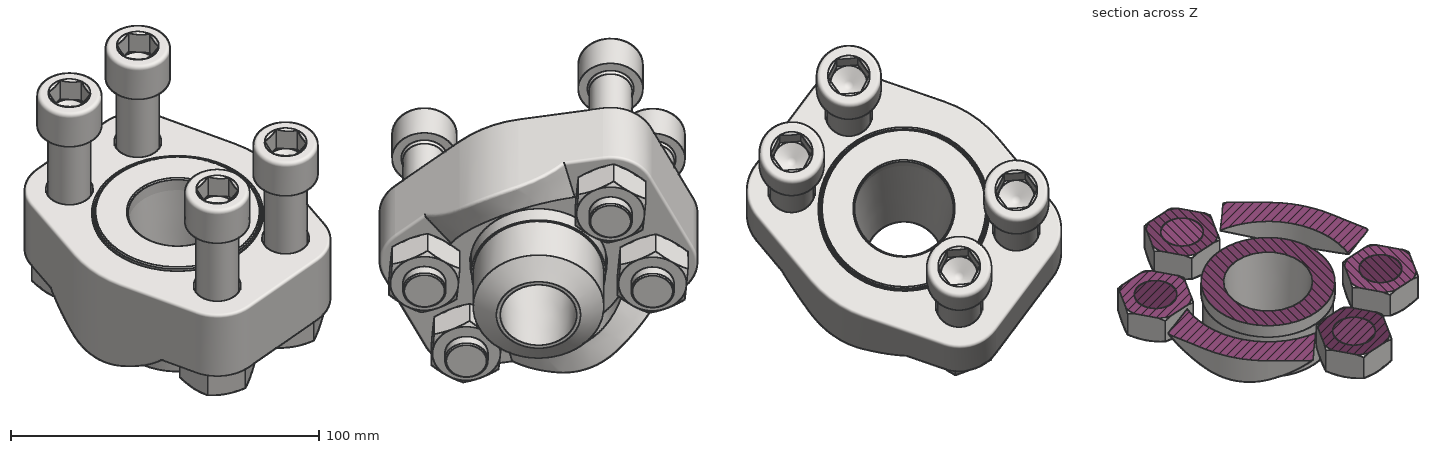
import cadquery as cq
import math


SCREW_X = 33.4
SCREW_Y = 15.9
SHANK_DIAMETER = 14.0
SHANK_LENGTH = 70.0
TIP_DIAMETER = 13.0
HEAD_DIAMETER = 21.0
HEAD_HEIGHT = 14.0
HEAD_ROUND = 1.35
HEAD_TOP_Z = 42.0
NECK_DIAMETER = 15.1
NECK_LENGTH = 1.2
SOCKET_RIM_DIAMETER = 13.7
SOCKET_FLATS = 11.8
SOCKET_DEPTH = 8.2
SOCKET_TURN = 40
SOCKET_CHAMFER_ANGLE = 30
SOCKET_TIP_ANGLE = 30

FLANGE_LENGTH = 96.0
FLANGE_WIDTH = 78.0
FLANGE_THICKNESS = 27
EDGE_ROUND = 1
SCREW_HOLE_DIAMETER = 15.3
COLLAR_RECESS_DIAMETER = 54.7
RECESS_CHAMFER = 0.5
PIPE_HOLE_DIAMETER = 44.5

LOBE_DROP = 11.0
LOBE_RADIUS = 36.7
LOBE_TAPER = 8
LOBE_INNER_RADIUS = 29.4
LOBE_WALL_DEPTH = 1.9

PIPE_DIAMETER = 42.4
PIPE_BOTTOM_Z = -54.5
PIPE_TIP_DIAMETER = 27.3
PIPE_TIP_HEIGHT = 4.4
SHOULDER_DIAMETER = 43.5
SHOULDER_BOTTOM_Z = -32.3
COLLAR_DIAMETER = 54
COLLAR_TOP_Z = 0.7
COLLAR_BOTTOM_Z = -9.65
COLLAR_CHAMFER = 0.5
BORE_TOP_DIAMETER = 32.0
BORE_TOP_DEPTH = 5.0
BORE_CHAMFER = 0.5
BORE_BOTTOM_DIAMETER = 24.8

NUT_FLATS = 22.0
NUT_HEIGHT = 11.0
NUT_CHAMFER_ANGLE = 30

HEX_CORNER_RATIO = 1 / math.cos(math.pi / 6)
SCREW_PLACES = [(x, y) for x in (-SCREW_X, SCREW_X) for y in (-SCREW_Y, SCREW_Y)]


def turned(profile):
    """Turn a closed (radius, z) profile about the Z axis."""
    return cq.Workplane("XZ").polyline(profile).close().revolve(360, (0, 0), (0, 1))


def disc(diameter, bottom_z, top_z):
    """Solid cylinder about the Z axis."""
    return cq.Workplane("XY", origin=(0, 0, bottom_z)).circle(diameter / 2).extrude(top_z - bottom_z)


def flange_outline():
    """Corner arcs about the screw axes, joined by tangent lines to two wide arcs about the pipe axis."""
    half_length = FLANGE_LENGTH / 2
    wide_radius = FLANGE_WIDTH / 2
    corner_radius = half_length - SCREW_X
    screw_distance = math.hypot(SCREW_X, SCREW_Y)
    screw_angle = math.atan2(SCREW_Y, SCREW_X)
    normal_angle = screw_angle + math.acos((wide_radius - corner_radius) / screw_distance)
    middle_angle = normal_angle / 2

    def wide_point(angle):
        return wide_radius * math.cos(angle), wide_radius * math.sin(angle)

    def corner_point(angle):
        return SCREW_X + corner_radius * math.cos(angle), SCREW_Y + corner_radius * math.sin(angle)

    def mirrored(point, side_x, side_y):
        return side_x * point[0], side_y * point[1]

    corner_start = corner_point(0)
    corner_middle = corner_point(middle_angle)
    corner_end = corner_point(normal_angle)
    wide_start = wide_point(normal_angle)
    outline = cq.Workplane("XY").moveTo(*corner_start)
    outline = outline.threePointArc(corner_middle, corner_end).lineTo(*wide_start)
    outline = outline.threePointArc((0, wide_radius), mirrored(wide_start, -1, 1))
    outline = outline.lineTo(*mirrored(corner_end, -1, 1))
    outline = outline.threePointArc(mirrored(corner_middle, -1, 1), mirrored(corner_start, -1, 1))
    outline = outline.lineTo(*mirrored(corner_start, -1, -1))
    outline = outline.threePointArc(mirrored(corner_middle, -1, -1), mirrored(corner_end, -1, -1))
    outline = outline.lineTo(*mirrored(wide_start, -1, -1))
    outline = outline.threePointArc((0, -wide_radius), mirrored(wide_start, 1, -1))
    outline = outline.lineTo(*mirrored(corner_end, 1, -1))
    outline = outline.threePointArc(mirrored(corner_middle, 1, -1), mirrored(corner_start, 1, -1))
    return outline.close()


def lobe_cone():
    """Double cone about a Y axis, widest at both long sides, whose underside shapes the lobes."""
    reach = FLANGE_WIDTH / 2 + LOBE_DROP
    slope = math.tan(math.radians(LOBE_TAPER))
    waist_radius = LOBE_RADIUS - FLANGE_WIDTH / 2 * slope
    end_radius = waist_radius + reach * slope
    axis_z = LOBE_RADIUS - FLANGE_THICKNESS - LOBE_DROP
    profile = [(-reach, 0), (-reach, end_radius), (0, waist_radius), (reach, end_radius), (reach, 0)]
    cone = cq.Workplane("YZ").polyline(profile).close().revolve(360, (0, 0), (1, 0))
    return cone.translate((0, 0, axis_z))


def round_flange_edges(body):
    """Round the top and bottom rims of the outer wall."""
    inner_limit = FLANGE_WIDTH / 2 - LOBE_WALL_DEPTH
    body = body.faces(">Z").edges().fillet(EDGE_ROUND)
    bottom_rim = [
        edge
        for edge in body.edges().vals()
        if edge.Center().z < -0.99 * FLANGE_THICKNESS
        and math.hypot(edge.Center().x, edge.Center().y) > inner_limit
    ]
    return body.newObject(bottom_rim).fillet(EDGE_ROUND)


def make_flange():
    bottom_z = -FLANGE_THICKNESS - 2 * LOBE_DROP
    relief = disc(2 * FLANGE_LENGTH, bottom_z, -FLANGE_THICKNESS).cut(lobe_cone())
    relief = relief.union(disc(2 * LOBE_INNER_RADIUS, bottom_z, -FLANGE_THICKNESS))
    body = flange_outline().extrude(bottom_z).cut(relief)
    body = round_flange_edges(body)
    body = body.cut(disc(PIPE_HOLE_DIAMETER, -FLANGE_THICKNESS, 0))
    body = body.cut(disc(COLLAR_RECESS_DIAMETER, COLLAR_BOTTOM_Z, 0))
    rim_radius = COLLAR_RECESS_DIAMETER / 2
    rim = [(0, 0), (rim_radius + RECESS_CHAMFER, 0), (rim_radius, -RECESS_CHAMFER), (0, -RECESS_CHAMFER)]
    body = body.cut(turned(rim))
    for x, y in SCREW_PLACES:
        body = body.cut(disc(SCREW_HOLE_DIAMETER, -FLANGE_THICKNESS, 0).translate((x, y, 0)))
    return body


def make_pipe():
    collar_radius = COLLAR_DIAMETER / 2
    bore_radius = BORE_TOP_DIAMETER / 2
    return turned([
        (bore_radius + BORE_CHAMFER, COLLAR_TOP_Z),
        (collar_radius - COLLAR_CHAMFER, COLLAR_TOP_Z),
        (collar_radius, COLLAR_TOP_Z - COLLAR_CHAMFER),
        (collar_radius, COLLAR_BOTTOM_Z),
        (SHOULDER_DIAMETER / 2, COLLAR_BOTTOM_Z),
        (SHOULDER_DIAMETER / 2, SHOULDER_BOTTOM_Z),
        (PIPE_DIAMETER / 2, SHOULDER_BOTTOM_Z),
        (PIPE_DIAMETER / 2, PIPE_BOTTOM_Z + PIPE_TIP_HEIGHT),
        (PIPE_TIP_DIAMETER / 2, PIPE_BOTTOM_Z),
        (BORE_BOTTOM_DIAMETER / 2, PIPE_BOTTOM_Z),
        (bore_radius, COLLAR_TOP_Z - BORE_TOP_DEPTH),
        (bore_radius, COLLAR_TOP_Z - BORE_CHAMFER),
    ])


def make_socket():
    """Hexagon socket with a countersunk rim and a conical bottom."""
    floor_z = HEAD_TOP_Z - SOCKET_DEPTH
    rim_radius = SOCKET_RIM_DIAMETER / 2
    flats_radius = SOCKET_FLATS / 2
    hexagon = cq.Workplane("XY", origin=(0, 0, floor_z)).polygon(6, SOCKET_FLATS * HEX_CORNER_RATIO)
    hexagon = hexagon.extrude(SOCKET_DEPTH).rotate((0, 0, 0), (0, 0, 1), SOCKET_TURN)
    rim_depth = rim_radius * math.tan(math.radians(SOCKET_CHAMFER_ANGLE))
    tip_depth = flats_radius * math.tan(math.radians(SOCKET_TIP_ANGLE))
    rim = turned([(0, HEAD_TOP_Z), (rim_radius, HEAD_TOP_Z), (0, HEAD_TOP_Z - rim_depth)])
    tip = turned([(0, floor_z), (flats_radius, floor_z), (0, floor_z - tip_depth)])
    return hexagon.union(rim).union(tip)


def make_screw():
    head_bottom_z = HEAD_TOP_Z - HEAD_HEIGHT
    tip_z = head_bottom_z - SHANK_LENGTH
    shank_radius = SHANK_DIAMETER / 2
    tip_radius = TIP_DIAMETER / 2
    shank = turned([
        (0, head_bottom_z),
        (NECK_DIAMETER / 2, head_bottom_z),
        (shank_radius, head_bottom_z - NECK_LENGTH),
        (shank_radius, tip_z + shank_radius - tip_radius),
        (tip_radius, tip_z),
        (0, tip_z),
    ])
    head = disc(HEAD_DIAMETER, head_bottom_z, HEAD_TOP_Z).faces(">Z").edges().fillet(HEAD_ROUND)
    return head.union(shank).cut(make_socket())


def make_nut():
    top_z = -FLANGE_THICKNESS
    bottom_z = top_z - NUT_HEIGHT
    flats_radius = NUT_FLATS / 2
    corner_radius = flats_radius * HEX_CORNER_RATIO
    chamfer = (corner_radius - flats_radius) * math.tan(math.radians(NUT_CHAMFER_ANGLE))
    hexagon = cq.Workplane("XY", origin=(0, 0, bottom_z)).polygon(6, 2 * corner_radius).extrude(NUT_HEIGHT)
    envelope = turned([
        (0, top_z),
        (flats_radius, top_z),
        (corner_radius, top_z - chamfer),
        (corner_radius, bottom_z + chamfer),
        (flats_radius, bottom_z),
        (0, bottom_z),
    ])
    return hexagon.intersect(envelope).cut(disc(SHANK_DIAMETER, bottom_z, top_z))


flange = make_flange()
pipe = make_pipe()
screws = [make_screw().translate((x, y, 0)) for x, y in SCREW_PLACES]
nuts = [make_nut().translate((x, y, 0)) for x, y in SCREW_PLACES]

result = cq.Compound.makeCompound(
    [flange.val(), pipe.val(), *[screw.val() for screw in screws], *[nut.val() for nut in nuts]]
)